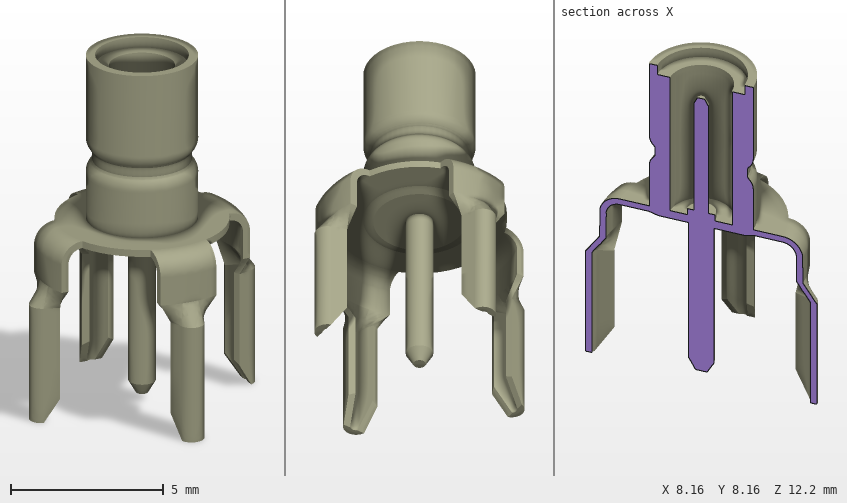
import cadquery as cq
import math


total_height = 12.19
leg_reach = 4.08

sheet = 0.24
flange_radius = 2.86
flange_top = 6.46
arm_count = 4
arm_width = 2.04
bend_radius = 0.72
arm_bottom = 4.77
arm_radius = flange_radius + bend_radius
flange_bottom = flange_top - sheet

leg_top = 4.05
crown_radius = 0.43
wall_angle = 18.0
leg_inner_reach = 3.19
tip_cut_height = 0.95
arm_crown_half_width = 0.29

barrel_radius = 1.84
groove_radius = 1.63
groove_middle = 8.69
groove_half_height = 0.16
lip_radius = 1.68
lip_offset = 0.23
shoulder_offset = 0.65
shoulder_bulge_radius = 1.8
shoulder_bulge_offset = 0.41
mouth_radius = 1.54
mouth_depth = 0.37
bore_radius = 1.08
underside_radius = 1.51
underside_drop = 0.09

pin_radius = 0.45
pin_bottom = 0.28
pin_chamfer_height = 0.43
pin_chamfer_width = 0.24
collar_radius = 0.5
collar_height = 0.24
contact_radius = 0.25
contact_tip_radius = 0.13
contact_top = 11.26
contact_taper = 0.24


def make_barrel():
    """Revolve the grooved barrel; its bore stops level with the top of the flange."""
    mouth_floor = total_height - mouth_depth
    profile = (
        cq.Workplane("XZ")
        .moveTo(0, flange_bottom - underside_drop)
        .lineTo(underside_radius, flange_bottom - underside_drop)
        .lineTo(barrel_radius, flange_bottom)
        .lineTo(barrel_radius, groove_middle - shoulder_offset)
        .threePointArc(
            (shoulder_bulge_radius, groove_middle - shoulder_bulge_offset),
            (lip_radius, groove_middle - lip_offset),
        )
        .lineTo(groove_radius, groove_middle - groove_half_height)
        .lineTo(groove_radius, groove_middle + groove_half_height)
        .lineTo(lip_radius, groove_middle + lip_offset)
        .threePointArc(
            (shoulder_bulge_radius, groove_middle + shoulder_bulge_offset),
            (barrel_radius, groove_middle + shoulder_offset),
        )
        .lineTo(barrel_radius, total_height)
        .lineTo(mouth_radius, total_height)
        .lineTo(mouth_radius, mouth_floor)
        .lineTo(bore_radius, mouth_floor)
        .lineTo(bore_radius, flange_top)
        .lineTo(0, flange_top)
        .close()
    )
    return profile.revolve(360, (0, 0, 0), (0, 1, 0))


def make_pin():
    """Revolve the pin: chamfered tail below, collar on the bore floor, tapered contact above."""
    profile = (
        cq.Workplane("XZ")
        .moveTo(0, pin_bottom)
        .lineTo(pin_radius - pin_chamfer_width, pin_bottom)
        .lineTo(pin_radius, pin_bottom + pin_chamfer_height)
        .lineTo(pin_radius, flange_top)
        .lineTo(collar_radius, flange_top)
        .lineTo(collar_radius, flange_top + collar_height)
        .lineTo(contact_radius, flange_top + collar_height)
        .lineTo(contact_radius, contact_top - contact_taper)
        .lineTo(contact_tip_radius, contact_top)
        .lineTo(0, contact_top)
        .close()
    )
    return profile.revolve(360, (0, 0, 0), (0, 1, 0))


def make_flange_and_arms():
    """Revolve the bent sheet, then keep the round flange and four arms of constant width."""
    bend_center_z = flange_top - bend_radius
    diagonal = math.sqrt(0.5)
    inner_bend = bend_radius - sheet
    bent_sheet = (
        cq.Workplane("XZ")
        .moveTo(0, flange_top)
        .lineTo(flange_radius, flange_top)
        .threePointArc(
            (flange_radius + bend_radius * diagonal, bend_center_z + bend_radius * diagonal),
            (arm_radius, bend_center_z),
        )
        .lineTo(arm_radius, arm_bottom)
        .lineTo(arm_radius - sheet, arm_bottom)
        .lineTo(arm_radius - sheet, bend_center_z)
        .threePointArc(
            (flange_radius + inner_bend * diagonal, bend_center_z + inner_bend * diagonal),
            (flange_radius, flange_bottom),
        )
        .lineTo(0, flange_bottom)
        .close()
        .revolve(360, (0, 0, 0), (0, 1, 0))
    )
    height = flange_top - arm_bottom
    span = 2 * arm_radius
    base = cq.Workplane("XY", origin=(0, 0, arm_bottom))
    keep = (
        base.circle(flange_radius)
        .extrude(height)
        .union(base.rect(span, arm_width).extrude(height))
        .union(base.rect(arm_width, span).extrude(height))
    )
    return bent_sheet.intersect(keep)


def on_circle(radius, y):
    """Point on the +X side of a circle about the axis, at the given Y."""
    return (math.sqrt(radius**2 - y**2), y)


def arm_section(plane):
    """Curved end of the arm, split so that each edge meets its partner on the leg."""
    outer = arm_radius
    inner = arm_radius - sheet
    side = arm_width / 2
    crown = arm_crown_half_width
    middle = (side + crown) / 2
    return (
        plane.moveTo(*on_circle(outer, -side))
        .threePointArc(on_circle(outer, -middle), on_circle(outer, -crown))
        .threePointArc((outer, 0), on_circle(outer, crown))
        .threePointArc(on_circle(outer, middle), on_circle(outer, side))
        .lineTo(*on_circle(inner, side))
        .threePointArc(on_circle(inner, middle), on_circle(inner, crown))
        .threePointArc((inner, 0), on_circle(inner, -crown))
        .threePointArc(on_circle(inner, -middle), on_circle(inner, -side))
        .close()
    )


def leg_section(plane):
    """Channel section: a round crown with two straight walls, cut square at their ends."""
    sine = math.sin(math.radians(wall_angle))
    cosine = math.cos(math.radians(wall_angle))
    center = leg_reach - crown_radius
    inner_radius = crown_radius - sheet
    outer_x = center + crown_radius * sine
    outer_y = crown_radius * cosine
    inner_x = center + inner_radius * sine
    inner_y = inner_radius * cosine
    inner_end_x = leg_inner_reach
    end_x = inner_end_x + sheet * sine
    end_y = outer_y + (outer_x - end_x) * sine / cosine
    inner_end_y = end_y - sheet * cosine
    return (
        plane.moveTo(end_x, -end_y)
        .lineTo(outer_x, -outer_y)
        .threePointArc((leg_reach, 0), (outer_x, outer_y))
        .lineTo(end_x, end_y)
        .lineTo(inner_end_x, inner_end_y)
        .lineTo(inner_x, inner_y)
        .threePointArc((center + inner_radius, 0), (inner_x, -inner_y))
        .lineTo(inner_end_x, -inner_end_y)
        .close()
    )


def make_leg():
    """Leg on the +X side: a ruled transition from the arm, then a channel with a slanted tip."""
    leg_plane = cq.Workplane("XY", origin=(0, 0, leg_top))
    arm_plane = cq.Workplane("XY", origin=(0, 0, arm_bottom))
    wires = [leg_section(leg_plane).val(), arm_section(arm_plane).val()]
    transition = cq.Workplane(cq.Solid.makeLoft(wires, True))

    channel = leg_section(cq.Workplane("XY")).extrude(leg_top)
    crown_edge = leg_reach - crown_radius * (1 - math.sin(math.radians(wall_angle)))
    tip_cut = (
        cq.Workplane("XZ")
        .moveTo(leg_inner_reach, tip_cut_height)
        .lineTo(crown_edge, 0)
        .lineTo(0, 0)
        .lineTo(0, tip_cut_height)
        .close()
        .extrude(arm_width, both=True)
    )
    return channel.cut(tip_cut).union(transition)


result = make_flange_and_arms().union(make_barrel()).union(make_pin())
leg = make_leg()
for index in range(arm_count):
    result = result.union(leg.rotate((0, 0, 0), (0, 0, 1), index * 360 / arm_count))